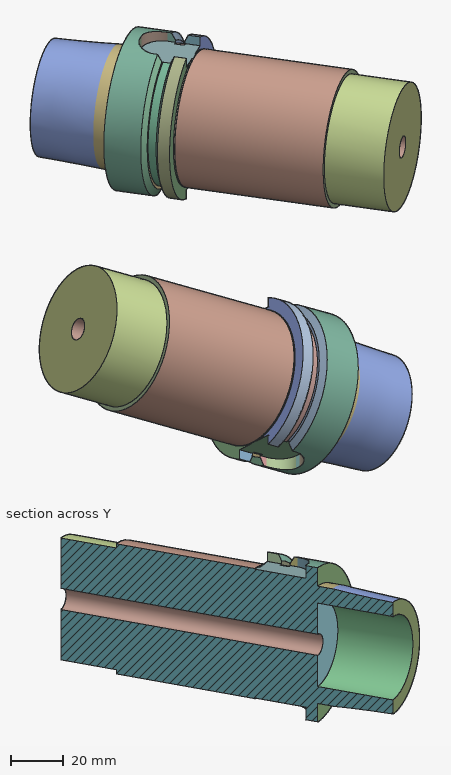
import cadquery as cq

total_length = 140.9
taper_end = 25.5
collar_start = 31.8
collar_end = 57.9
neck_end = 58.5
body_end = 117.4

taper_small_diameter = 45.7
taper_large_diameter = 48.0
collar_diameter = 63.0
neck_diameter = 52.8
body_diameter = 53.3
nose_diameter = 49.9
bore_diameter = 33.8
coolant_hole_diameter = 8.5

groove_start = 48.2
groove_end = 51.9
groove_floor_diameter = 55.0
front_bevel_length = 1.7
front_bevel_depth = 2.8
rear_bevel_length = 1.3
rear_bevel_depth = 2.4

slot_width = 18.3
slot_tip = 37.0
slot_corner_radius = 8.0
slot_floor_height = 26.3

bore_depth = collar_start


def turned_body():
    """Revolve the outer profile about the X axis."""
    collar_radius = collar_diameter / 2
    groove_radius = groove_floor_diameter / 2
    profile = [
        (0, 0),
        (0, taper_small_diameter / 2),
        (taper_end, taper_large_diameter / 2),
        (collar_start, taper_large_diameter / 2),
        (collar_start, collar_radius),
        (groove_start - front_bevel_length, collar_radius),
        (groove_start, collar_radius - front_bevel_depth),
        (groove_start, groove_radius),
        (groove_end, groove_radius),
        (groove_end, collar_radius - rear_bevel_depth),
        (groove_end + rear_bevel_length, collar_radius),
        (collar_end, collar_radius),
        (collar_end, neck_diameter / 2),
        (neck_end, neck_diameter / 2),
        (neck_end, body_diameter / 2),
        (body_end, body_diameter / 2),
        (body_end, nose_diameter / 2),
        (total_length, nose_diameter / 2),
        (total_length, 0),
    ]
    return cq.Workplane("XY").polyline(profile).close().revolve(360, (0, 0, 0), (1, 0, 0))


def drive_slot():
    """Cutter with two rounded front corners for the slot on the +Z side, ending at the neck shoulder."""
    slot_length = neck_end - slot_tip
    slot_depth = collar_diameter / 2 - slot_floor_height
    return (
        cq.Workplane("XY", origin=(slot_tip, 0, slot_floor_height))
        .box(slot_length, slot_width, slot_depth, centered=(False, True, False))
        .edges("|Z and <X")
        .fillet(slot_corner_radius)
    )


def axial_cylinder(diameter, length):
    """Cylinder on the X axis starting at the taper's open end."""
    return cq.Workplane("YZ").circle(diameter / 2).extrude(length)


result = turned_body()
for slot_angle in (0, 180):
    result = result.cut(drive_slot().rotate((0, 0, 0), (1, 0, 0), slot_angle))
result = result.cut(axial_cylinder(bore_diameter, bore_depth))
result = result.cut(axial_cylinder(coolant_hole_diameter, total_length))